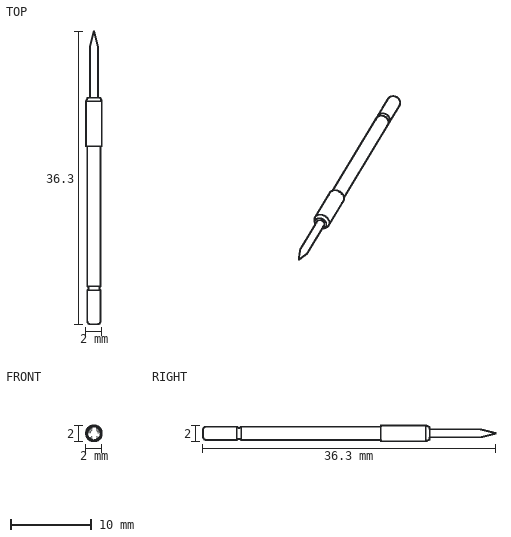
import cadquery as cq

total_length = 36.3
groove_start = 4.2
groove_width = 0.5
collar_start = 22.05
collar_length = 6.05
needle_cone_length = 1.9

barrel_diameter = 1.67
collar_diameter = 2.0
needle_diameter = 1.0
tip_diameter = 0.07

rear_fillet = 0.4
groove_depth = 0.15
collar_chamfer_length = 0.47
collar_chamfer_depth = 0.2


def rod(diameter, start, end):
    """Cylinder along +Y between two stations."""
    plane = cq.Workplane("XZ", origin=(0, start, 0))
    return plane.circle(diameter / 2).extrude(start - end)


def make_barrel():
    """Long barrel with a rounded rear end."""
    return rod(barrel_diameter, 0, collar_start).faces("<Y").edges().fillet(rear_fillet)


def make_groove():
    """Ring that cuts the shallow round-bottomed groove around the barrel."""
    radius = barrel_diameter / 2
    return (
        cq.Workplane("XY")
        .moveTo(radius, groove_start)
        .threePointArc(
            (radius - groove_depth, groove_start + groove_width / 2),
            (radius, groove_start + groove_width),
        )
        .lineTo(collar_diameter / 2, groove_start + groove_width)
        .lineTo(collar_diameter / 2, groove_start)
        .close()
        .revolve(360, (0, 0, 0), (0, 1, 0))
    )


def make_collar():
    """Thick collar with a long, shallow chamfer facing the needle."""
    radius = collar_diameter / 2
    collar_end = collar_start + collar_length
    return (
        cq.Workplane("XY")
        .moveTo(0, collar_start)
        .lineTo(radius, collar_start)
        .lineTo(radius, collar_end - collar_chamfer_length)
        .lineTo(radius - collar_chamfer_depth, collar_end)
        .lineTo(0, collar_end)
        .close()
        .revolve(360, (0, 0, 0), (0, 1, 0))
    )


def make_needle():
    """Slender plunger ending in a conical contact point."""
    collar_end = collar_start + collar_length
    return (
        cq.Workplane("XY")
        .moveTo(0, collar_end)
        .lineTo(needle_diameter / 2, collar_end)
        .lineTo(needle_diameter / 2, total_length - needle_cone_length)
        .lineTo(tip_diameter / 2, total_length)
        .lineTo(0, total_length)
        .close()
        .revolve(360, (0, 0, 0), (0, 1, 0))
    )


barrel = make_barrel().cut(make_groove())
result = barrel.union(make_collar()).union(make_needle())